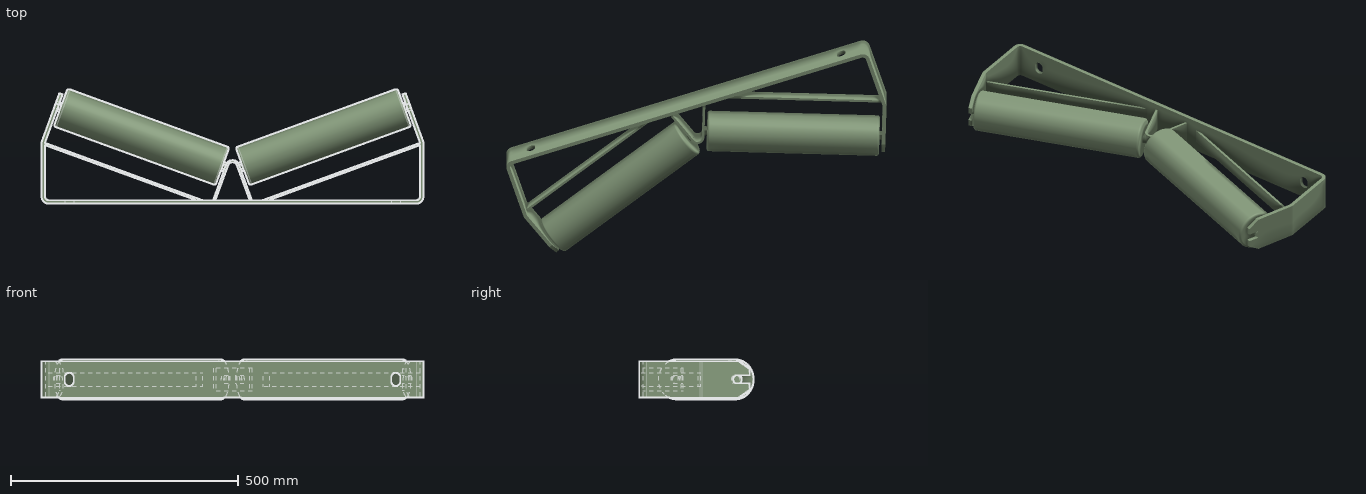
import cadquery as cq
import math

frame_length = 840.0
bar_width = 80.0
bar_thickness = 8.0
corner_radius = 16.0
tilt = 20.0

sin_tilt = math.sin(math.radians(tilt))
cos_tilt = math.cos(math.radians(tilt))

arm_face_along = -441.0
arm_tip_up = 98.0
arm_bend_radius = 12.0
tip_cut_up = 24.0
tip_cut_width = 16.0

mount_spacing = 718.0
mount_slot_width = 20.0
mount_slot_length = 28.5

roller_diameter = 89.0
roller_start_along = -427.5
roller_length = 379.0
roller_edge_radius = 5.0
axis_up = 70.0

shaft_diameter = 20.0
shaft_flat_width = 18.0

bracket_width = 50.0
bracket_thickness = 5.0
bracket_face_along = -43.0
bracket_peak_radius = 15.0

strut_thickness = 5.0
strut_width = 30.0
strut_top_up = -15.0

tilted_plane = cq.Plane(origin=(0, 0, 0), xDir=(cos_tilt, -sin_tilt, 0), normal=(0, 0, 1))


def to_xy(along, up):
    """Convert a place in the left side's tilted axes to X and Y."""
    return (along * cos_tilt + up * sin_tilt, up * cos_tilt - along * sin_tilt)


def plane_across(along, up):
    """Plane square to the left roller axis; its local X is the "up" direction, its local Y is Z."""
    return cq.Plane(
        origin=(*to_xy(along, up), 0),
        xDir=(sin_tilt, cos_tilt, 0),
        normal=(cos_tilt, -sin_tilt, 0),
    )


def mirrored(body):
    """Copy a left-side body or cutter to the right side."""
    return body.mirror("YZ")


def both_sides(x, y):
    """A place and its mirror image, as XY points."""
    return [(x, y), (-x, y)]


def bar_from(points, width):
    """Extrude an XY outline to a bar centred on Z = 0."""
    return cq.Workplane("XY").polyline(points).close().extrude(width / 2, both=True)


def round_corners(bar, corners, radius):
    """Round the Z edges of a bar that stand at the given XY corners."""
    for x, y in corners:
        bar = bar.edges(cq.selectors.NearestToPointSelector((x, y, 0))).fillet(radius)
    return bar


def shaft_slot(along_start, along_end):
    """Cutter, on the left side, for a slot that opens upwards above the shaft."""
    length = along_end - along_start
    clear_height = frame_length
    opening = (
        cq.Workplane(tilted_plane)
        .center(along_start, axis_up)
        .rect(length, clear_height, centered=False)
        .extrude(shaft_flat_width / 2, both=True)
    )
    return opening.union(flatted_shaft(along_start, length))


def flatted_shaft(along_start, length):
    """Round bar along the left roller axis with two flats square to Z."""
    end_plane = plane_across(along_start, axis_up)
    round_bar = cq.Workplane(end_plane).circle(shaft_diameter / 2).extrude(length)
    flats = cq.Workplane(end_plane).rect(shaft_diameter, shaft_flat_width).extrude(length)
    return round_bar.intersect(flats)


def tip_cutters():
    """Wedges that take the upper and lower corners off the left arm's tip."""
    edge = bar_width / 2
    return [
        cq.Workplane(plane_across(arm_face_along, arm_tip_up))
        .polyline([(-tip_cut_up, side * edge), (0, side * edge), (0, side * (edge - tip_cut_width))])
        .close()
        .extrude(bar_thickness)
        for side in (-1, 1)
    ]


def make_frame():
    """Bent bar with two mounting slots, and a notched, clipped arm at each end."""
    half_length = frame_length / 2
    inner_half = half_length - bar_thickness
    bend_y = (-arm_face_along - half_length * cos_tilt) / sin_tilt
    inner_bend_y = bend_y - bar_thickness * math.tan(math.radians(tilt / 2))
    arm_inner_along = arm_face_along + bar_thickness

    left_outline = [
        (-half_length, 0),
        (-half_length, bend_y),
        to_xy(arm_face_along, arm_tip_up),
        to_xy(arm_inner_along, arm_tip_up),
        (-inner_half, inner_bend_y),
        (-inner_half, bar_thickness),
    ]
    right_outline = [(-x, y) for x, y in reversed(left_outline)]
    frame = bar_from(left_outline + right_outline, bar_width)

    for corner_y, outside_radius, inside_y in [
        (0, corner_radius, bar_thickness),
        (bend_y, arm_bend_radius, inner_bend_y),
    ]:
        frame = round_corners(frame, both_sides(half_length, corner_y), outside_radius)
        frame = round_corners(frame, both_sides(inner_half, inside_y), outside_radius - bar_thickness)

    mount_slots = (
        cq.Workplane("XZ")
        .pushPoints(both_sides(mount_spacing / 2, 0))
        .slot2D(mount_slot_length, mount_slot_width, 90)
        .extrude(-bar_thickness)
    )
    frame = frame.cut(mount_slots)

    for cutter in [shaft_slot(arm_face_along, arm_inner_along), *tip_cutters()]:
        frame = frame.cut(cutter).cut(mirrored(cutter))
    return frame


def tent(face_along, peak_radius):
    """Solid block between two tilted faces that lean together at a rounded peak."""
    peak = (0, -face_along / sin_tilt)
    foot_x = (-face_along - bar_thickness * sin_tilt) / cos_tilt
    block = bar_from([*both_sides(foot_x, bar_thickness), peak], bracket_width)
    return round_corners(block, [peak], peak_radius)


def make_bracket():
    """Inverted V in the middle of the base, slotted for the inner shaft ends."""
    inner_along = bracket_face_along + bracket_thickness
    outer = tent(bracket_face_along, bracket_peak_radius)
    inner = tent(inner_along, bracket_peak_radius - bracket_thickness)
    slot = shaft_slot(bracket_face_along, inner_along)
    return outer.cut(inner).cut(slot).cut(mirrored(slot))


def make_roller():
    """Left roller with its shaft, whose ends are flush with the arm and the bracket leg."""
    drum = (
        cq.Workplane(plane_across(roller_start_along, axis_up))
        .circle(roller_diameter / 2)
        .extrude(roller_length)
        .edges()
        .fillet(roller_edge_radius)
    )
    shaft_end_along = bracket_face_along + bracket_thickness
    return drum.union(flatted_shaft(arm_face_along, shaft_end_along - arm_face_along))


def make_strut(frame):
    """Left strut, from the bend of the arm to the base, trimmed to fit against the frame."""
    start_along = arm_face_along + bar_thickness
    end_along = (strut_top_up * cos_tilt - bar_thickness) / sin_tilt
    strut = (
        cq.Workplane(tilted_plane)
        .center(start_along, strut_top_up - strut_thickness)
        .rect(end_along - start_along, strut_thickness, centered=False)
        .extrude(strut_width / 2, both=True)
    )
    return strut.cut(frame)


frame = make_frame()
bracket = make_bracket()
roller = make_roller()
strut = make_strut(frame)
rollers = [roller, mirrored(roller)]
struts = [strut, mirrored(strut)]
result = cq.Compound.makeCompound([body.val() for body in [frame, bracket, *rollers, *struts]])